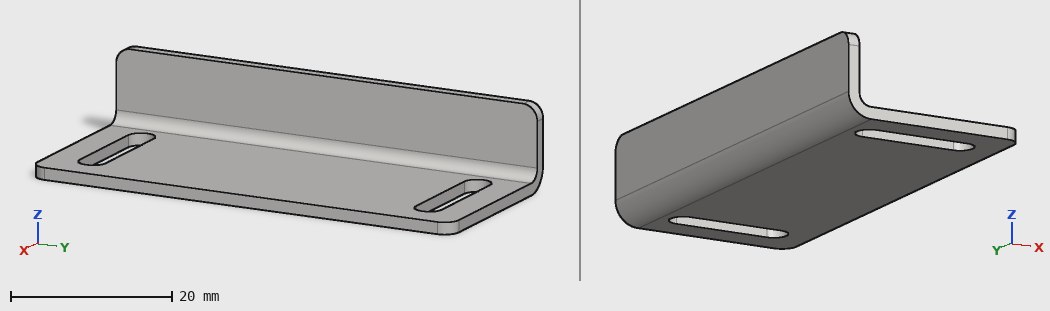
import cadquery as cq

depth = 24.6
length = 58.85
height = 11.2

thickness = 1.6
inner_bend_radius = 1.6
outer_bend_radius = inner_bend_radius + thickness
corner_radius = 2.0

slot_length = 16.5
slot_width = 3.6
slot_spacing = 46.95
slot_center_x = 12.75


def bent_sheet():
    """L-shaped sheet with its bend along Y, centred on Y = 0."""
    outer = cq.Workplane("XY").box(depth, length, height, centered=(False, True, False))
    outer = outer.edges("|Y and <X and <Z").fillet(outer_bend_radius)
    inner = (
        cq.Workplane("XY")
        .box(depth, length, height, centered=(False, True, False))
        .edges("|Y and <X and <Z")
        .fillet(inner_bend_radius)
        .translate((thickness, 0, thickness))
    )
    return outer.cut(inner)


def round_free_corners(sheet):
    """Round the two outer corners of each flange."""
    sheet = sheet.faces(">X").edges("|Z").fillet(corner_radius)
    return sheet.faces(">Z").edges("|X").fillet(corner_radius)


def mounting_slots():
    """Through slots running along X, one near each end of the base."""
    half_spacing = slot_spacing / 2
    return (
        cq.Workplane("XY")
        .pushPoints([(slot_center_x, -half_spacing), (slot_center_x, half_spacing)])
        .slot2D(slot_length, slot_width)
        .extrude(thickness)
    )


result = round_free_corners(bent_sheet()).cut(mounting_slots())